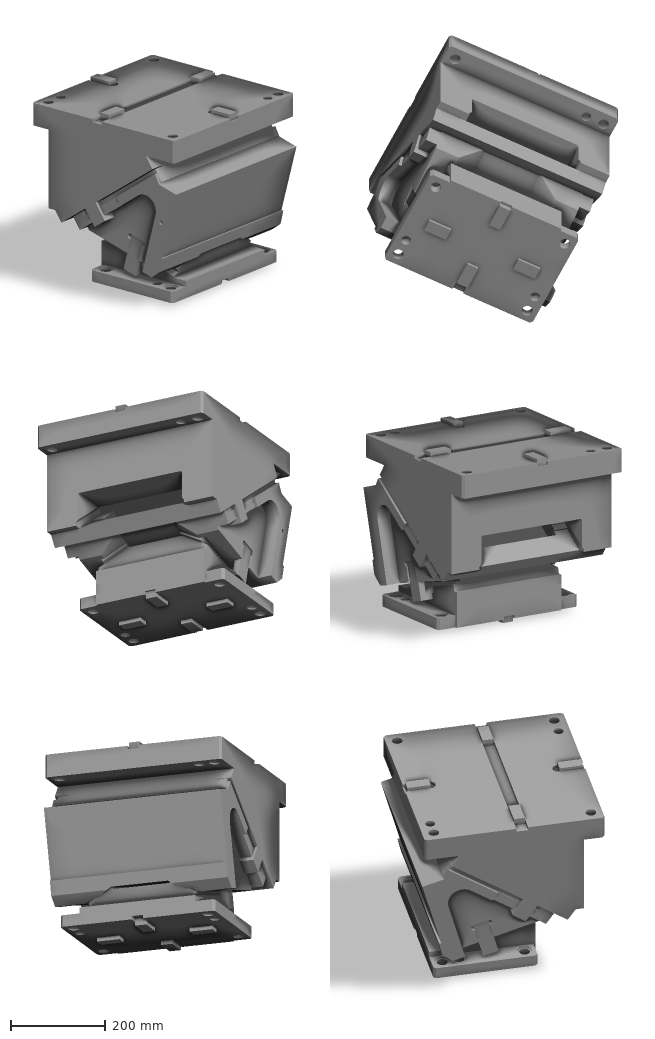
import cadquery as cq
import math


WIDTH = 400.0
HOUSING_ANGLE = 35.0
DRIVER_ANGLE = 15.0
ROOF_ANGLE = 30.0
EDGE_CHAMFER = 5.0

KEY_LENGTH = 51.0
KEY_WIDTH = 24.0
KEY_HEIGHT = 8.5
KEYWAY_WIDTH = 25.5
KEYWAY_DEPTH = 7.0
KEY_SHIFT = (KEYWAY_WIDTH - KEY_WIDTH) / 2

PLATE_LENGTH = 391.0
PLATE_TOP = 376.0
PLATE_BOTTOM = 325.5
HOUSING_BACK_X = 45.0
TIP_X = 80.5
TIP_Z = 125.0
HOUSING_FACE_LENGTH = 306.0
LIP_THICKNESS = 29.5
TOOTH_START = 81.0
TOOTH_END = 115.0
TOOTH_DEPTH = 44.0
CORE_HALF_WIDTH = 168.0

WINDOW_HALF_WIDTH = 125.5
WINDOW_TOP = 223.0
WINDOW_CORNER = 4.0
FLARE = 5.0
FLARE_HEIGHT = 21.0
OPENING_HALF_WIDTH = 99.0
OPENING_START = 49.0
LOW_STEP_START, LOW_STEP_HEIGHT = 60.0, 3.5
HIGH_STEP_START, HIGH_STEP_HEIGHT = 74.0, 5.0

BOLT_DIAMETER = 23.0
DOWEL_DIAMETER = 21.0
BOLT_INSET = 25.0
BACK_DOWEL_Y = -134.5
FRONT_DOWEL_Y = 141.0
CROSS_KEYWAY_X = 179.0
CROSS_KEY_Y = 150.0
END_KEY_INSET = 4.5

SLIDER_START = 33.0
SLIDER_END_HEIGHT = 41.0
RAIL_HALF_WIDTH = 193.5
RAIL_GAP = 1.5
RAIL_DEPTH = 33.0
NOSE_START = 177.0
NOSE_DROP = 11.5
UNDERSIDE_LENGTH = 205.0
CHIN_X, CHIN_Z = 352.5, 75.0
STEP_X, STEP_WIDTH, STEP_Z = 360.0, 5.0, 106.5
CORNER_X, CORNER_Z = 396.0, 257.5
BROW_X, BROW_Z = 349.0, 270.0
POCKET_WALL_X, POCKET_WALL_Z = 340.5, 202.5
POCKET_RADIUS = 31.0
MARK_X, MARK_Z = 355.0, 185.5
MARK_DIAMETER = 9.5
MARK_DEPTH = 12.0
RECESS_START = 65.0
RECESS_DEPTH = 2.0

ROOF_EDGE_Y = 131.0
ROOF_TOP_Y = 64.0
ROOF_EDGE_DROP = 14.0
GUIDE_START = 21.5
GUIDE_END = 212.5
GROOVE_EDGE_Y = 115.0
PLATE_EDGE_Y = 118.5
WEAR_PLATE_START = 12.5
WEAR_PLATE_THICKNESS = 7.0
RELIEF_EDGE_Y = 129.5
HOOK_START, HOOK_END = 106.5, 141.0
HOOK_TOP, HOOK_BOTTOM = 46.5, -41.0
HOOK_FOOT_TOP = -28.0
HOOK_OUTER_Y, HOOK_INNER_Y, HOOK_TOE_Y = 165.0, 150.5, 135.0
HOOK_RELIEF_RADIUS = 6.5
LUG_EDGE_Y = 149.0

DRIVER_BACK_X = 134.5
DRIVER_FRONT_X = 365.5
DRIVER_BACK_Z = 78.0
DRIVER_FRONT_Z = 39.0
FLANGE_BACK_X = 139.5
FLANGE_HALF_WIDTH = 175.0
FLANGE_THICKNESS = 25.5
FLANGE_BOLT_Y = 152.5
FLANGE_BOLT_X = (163.5, 342.5)
FLANGE_DOWEL_X = 305.0
SPOTFACE_DIAMETER = 32.0
SPOTFACE_DEPTH = 2.0
FOOT_KEY_X = (FLANGE_BACK_X, 294.5)
FOOT_CROSS_KEY_X = 250.0
FOOT_CROSS_KEY_Y = ROOF_EDGE_Y - KEY_LENGTH / 2


def direction(angle):
    return math.cos(math.radians(angle)), math.sin(math.radians(angle))


def on_housing_face(along, above):
    """X, Z of a point along the housing's sliding face and square above it."""
    c, s = direction(HOUSING_ANGLE)
    return TIP_X + along * c - above * s, TIP_Z + along * s + above * c


UNDERSIDE_X, UNDERSIDE_Z = on_housing_face(SLIDER_START, -SLIDER_END_HEIGHT)


def on_driver_face(along, above):
    """X, Z of a point along the slider's underside and square above it."""
    c, s = direction(-DRIVER_ANGLE)
    return UNDERSIDE_X + along * c - above * s, UNDERSIDE_Z + along * s + above * c


def at_height(along, z):
    """X, Z of the point at height z on the line square to the driver face."""
    x0, z0 = on_driver_face(along, 0)
    return x0 + (z - z0) * math.tan(math.radians(DRIVER_ANGLE)), z


def slab(points, y_from, y_to):
    """Prism with an X-Z outline, spanning y_from to y_to."""
    return cq.Workplane("XZ", origin=(0, y_from, 0)).polyline(points).close().extrude(y_from - y_to)


def wide_slab(points, half_width):
    return slab(points, -half_width, half_width)


def inclined_block(frame, along, above, y_from, y_to):
    """Block square to an inclined face; along and above are (from, to) pairs."""
    corners = [(0, 0), (1, 0), (1, 1), (0, 1)]
    return slab([frame(along[i], above[j]) for i, j in corners], y_from, y_to)


def section_along(frame, angle, points, start, end):
    """Y-height section swept along an inclined face from start to end."""
    x, z = frame(start, 0)
    c, s = direction(angle)
    plane = cq.Plane(origin=(x, 0, z), xDir=(0, 1, 0), normal=(c, 0, s))
    return cq.Workplane(plane).polyline(points).close().extrude(end - start)


def mirrored_pair(body):
    return body.union(body.mirror("XZ"))


def box(x, y, z):
    """Block from (from, to) pairs."""
    size = (x[1] - x[0], y[1] - y[0], z[1] - z[0])
    return cq.Workplane().box(*size, centered=False).translate((x[0], y[0], z[0]))


def span(centre, length):
    return centre - length / 2, centre + length / 2


def drill(x, y, diameter, z):
    bore = cq.Workplane("XY", origin=(x, y, z[0])).circle(diameter / 2)
    return bore.extrude(z[1] - z[0])


def housing_outline():
    cheek = (PLATE_BOTTOM - on_housing_face(HOUSING_FACE_LENGTH, 0)[1]) / direction(HOUSING_ANGLE)[0]
    lip = on_housing_face(0, LIP_THICKNESS)
    return [
        (TIP_X, TIP_Z),
        on_housing_face(HOUSING_FACE_LENGTH, 0),
        on_housing_face(HOUSING_FACE_LENGTH, cheek),
        (HOUSING_BACK_X, PLATE_BOTTOM),
        (HOUSING_BACK_X, lip[1]),
        lip,
    ]


def window():
    """Pocket from the back face, floored by the lip and its side steps."""
    floor_start = on_housing_face(0, LIP_THICKNESS)
    end_height = (WINDOW_TOP - on_housing_face(TOOTH_END, 0)[1]) / direction(HOUSING_ANGLE)[0]
    outline = [
        (HOUSING_BACK_X, floor_start[1]),
        floor_start,
        on_housing_face(TOOTH_END, LIP_THICKNESS),
        on_housing_face(TOOTH_END, end_height),
        (HOUSING_BACK_X, WINDOW_TOP),
    ]
    pocket = wide_slab(outline, WINDOW_HALF_WIDTH)
    pocket = pocket.faces(">Z").edges("|X").fillet(WINDOW_CORNER)

    flare_top = LIP_THICKNESS + FLARE_HEIGHT
    outer = WINDOW_HALF_WIDTH + FLARE
    flare = section_along(on_housing_face, HOUSING_ANGLE, [
        (-outer, LIP_THICKNESS),
        (outer, LIP_THICKNESS),
        (outer, flare_top - FLARE),
        (WINDOW_HALF_WIDTH, flare_top),
        (-WINDOW_HALF_WIDTH, flare_top),
        (-outer, flare_top - FLARE),
    ], -LIP_THICKNESS, TOOTH_END)
    pocket = pocket.union(flare)

    for start, height in ((LOW_STEP_START, LOW_STEP_HEIGHT), (HIGH_STEP_START, HIGH_STEP_HEIGHT)):
        above = (LIP_THICKNESS, LIP_THICKNESS + height)
        step = inclined_block(on_housing_face, (start, TOOTH_END), above, -outer, outer)
        pocket = pocket.cut(step)

    opening = inclined_block(on_housing_face, (OPENING_START, TOOTH_END),
                             (0, LIP_THICKNESS + HIGH_STEP_HEIGHT),
                             -OPENING_HALF_WIDTH, OPENING_HALF_WIDTH)
    return pocket.union(opening)


def add_top_keys(body):
    """Cut the cross and end keyways in the mounting face and seat the keys."""
    keyway_z = (PLATE_TOP - KEYWAY_DEPTH, PLATE_TOP)
    key_z = (keyway_z[0], PLATE_TOP + KEY_HEIGHT)

    body = body.cut(box(span(CROSS_KEYWAY_X, KEYWAY_WIDTH), (-WIDTH / 2, WIDTH / 2), keyway_z))
    for y in (-CROSS_KEY_Y, CROSS_KEY_Y):
        body = body.union(box(span(CROSS_KEYWAY_X + KEY_SHIFT, KEY_WIDTH), span(y, KEY_LENGTH), key_z))

    back_key = END_KEY_INSET
    front_key = PLATE_LENGTH - END_KEY_INSET - KEY_LENGTH
    back_end = back_key + KEY_LENGTH
    for key_x, keyway_x, round_x in (
        (back_key, (0, back_end), back_end),
        (front_key, (front_key, PLATE_LENGTH), front_key),
    ):
        body = body.cut(box(keyway_x, span(0, KEYWAY_WIDTH), keyway_z))
        body = body.cut(drill(round_x, 0, KEYWAY_WIDTH, keyway_z))
        body = body.union(box((key_x, key_x + KEY_LENGTH), span(KEY_SHIFT, KEY_WIDTH), key_z))
    return body


def make_housing():
    plate = box((0, PLATE_LENGTH), (-WIDTH / 2, WIDTH / 2), (PLATE_BOTTOM, PLATE_TOP))
    plate = plate.edges("|Z").chamfer(EDGE_CHAMFER)
    body = plate.union(wide_slab(housing_outline(), WIDTH / 2)).cut(window())

    tooth = inclined_block(on_housing_face, (TOOTH_START, TOOTH_END), (-TOOTH_DEPTH, 0),
                           CORE_HALF_WIDTH, WIDTH / 2)
    body = body.union(mirrored_pair(tooth))

    plate_z = (PLATE_BOTTOM, PLATE_TOP)
    back_x, front_x = BOLT_INSET, PLATE_LENGTH - BOLT_INSET
    bolt_y = WIDTH / 2 - BOLT_INSET
    for x in (back_x, front_x):
        for y in (-bolt_y, bolt_y):
            body = body.cut(drill(x, y, BOLT_DIAMETER, plate_z))
    for x, y in ((back_x, BACK_DOWEL_Y), (front_x, FRONT_DOWEL_Y)):
        body = body.cut(drill(x, y, DOWEL_DIAMETER, plate_z))
    return add_top_keys(body)


ROOF_SLOPE = math.tan(math.radians(ROOF_ANGLE))


def roof_height(y):
    """Height of the driver's roof above the slider's underside."""
    return (ROOF_EDGE_Y - y) * ROOF_SLOPE - ROOF_EDGE_DROP


def roof_section(edge_y, edge_z, top_y, top_z):
    return [(-edge_y, edge_z), (-top_y, top_z), (top_y, top_z), (edge_y, edge_z)]


def slider_outline(top):
    """Side outline of the slider with its upper face at the given height."""
    return [
        on_housing_face(SLIDER_START, top),
        (UNDERSIDE_X, UNDERSIDE_Z),
        on_driver_face(UNDERSIDE_LENGTH, 0),
        (CHIN_X, CHIN_Z),
        (STEP_X, STEP_Z),
        (STEP_X - STEP_WIDTH, STEP_Z),
        (CORNER_X, CORNER_Z),
        (BROW_X, BROW_Z),
        on_housing_face(HOUSING_FACE_LENGTH, top),
    ]


def side_pocket():
    """Clearance below the rails, open to the back and the underside."""
    c, s = direction(90 - DRIVER_ANGLE)
    rise_c, rise_s = direction(HOUSING_ANGLE)
    roof_x, roof_z = on_housing_face(0, -RAIL_DEPTH)
    offset = (roof_x - POCKET_WALL_X) * rise_s - (roof_z - POCKET_WALL_Z) * rise_c
    reach = offset / (c * rise_s - s * rise_c)
    apex = (POCKET_WALL_X + reach * c, POCKET_WALL_Z + reach * s)
    wall_foot = (POCKET_WALL_X - WIDTH * c, POCKET_WALL_Z - WIDTH * s)
    outline = [on_housing_face(-WIDTH, -RAIL_DEPTH), apex, wall_foot]
    pocket = slab(outline, CORE_HALF_WIDTH, WIDTH / 2)
    return pocket.edges("|Y").edges(">X").fillet(POCKET_RADIUS)


def make_nose():
    nose = wide_slab(slider_outline(-NOSE_DROP), WIDTH / 2)
    behind = inclined_block(on_housing_face, (-WIDTH, NOSE_START), (-RAIL_DEPTH, 0), -WIDTH, WIDTH)
    return nose.cut(behind).cut(mirrored_pair(side_pocket()))


def make_rails():
    rails = None
    for start, end in ((SLIDER_START, TOOTH_START), (TOOTH_END, HOUSING_FACE_LENGTH)):
        rail = inclined_block(on_housing_face, (start, end), (-RAIL_DEPTH, -RAIL_GAP),
                              -RAIL_HALF_WIDTH, RAIL_HALF_WIDTH)
        rails = rail if rails is None else rails.union(rail)
    recess = inclined_block(on_housing_face, (RECESS_START, HOUSING_FACE_LENGTH), (-NOSE_DROP, 0),
                            RAIL_HALF_WIDTH - RECESS_DEPTH, RAIL_HALF_WIDTH)
    return rails.cut(mirrored_pair(recess))


def hook_seat():
    """Recess in the core's side for a hook, with rounded relief at its top corners."""
    hook_along = (HOOK_START, HOOK_END)
    seat = inclined_block(on_driver_face, hook_along, (0, HOOK_TOP), HOOK_INNER_Y, CORE_HALF_WIDTH)
    for along in hook_along:
        x, z = on_driver_face(along, HOOK_TOP - HOOK_RELIEF_RADIUS)
        plane = cq.Workplane("XZ", origin=(x, HOOK_INNER_Y, z))
        seat = seat.union(plane.circle(HOOK_RELIEF_RADIUS).extrude(HOOK_INNER_Y - CORE_HALF_WIDTH))
    return seat


def hook():
    """L-shaped return hook that reaches under the driver's lug."""
    along = (HOOK_START, HOOK_END)
    leg = inclined_block(on_driver_face, along, (HOOK_BOTTOM, HOOK_TOP), HOOK_INNER_Y, HOOK_OUTER_Y)
    foot = inclined_block(on_driver_face, along, (HOOK_BOTTOM, HOOK_FOOT_TOP), HOOK_TOE_Y, HOOK_OUTER_Y)
    return leg.union(foot)


def make_slider():
    body = wide_slab(slider_outline(0), CORE_HALF_WIDTH).union(make_rails()).union(make_nose())

    groove_top = (GROOVE_EDGE_Y - ROOF_TOP_Y) * ROOF_SLOPE
    groove = roof_section(GROOVE_EDGE_Y, 0, ROOF_TOP_Y, groove_top)
    body = body.cut(section_along(on_driver_face, -DRIVER_ANGLE, groove, -WIDTH, WIDTH))

    c, s = direction(ROOF_ANGLE)
    lean, lift = WEAR_PLATE_THICKNESS * s, WEAR_PLATE_THICKNESS * c
    plate_section = [
        (ROOF_TOP_Y, roof_height(ROOF_TOP_Y)),
        (PLATE_EDGE_Y, roof_height(PLATE_EDGE_Y)),
        (PLATE_EDGE_Y + lean, roof_height(PLATE_EDGE_Y) + lift),
        (ROOF_TOP_Y + lean, roof_height(ROOF_TOP_Y) + lift),
    ]
    relief_section = [
        (RELIEF_EDGE_Y, 0),
        (PLATE_EDGE_Y + lean, (RELIEF_EDGE_Y - PLATE_EDGE_Y - lean) * ROOF_SLOPE),
        (PLATE_EDGE_Y + lean, 0),
    ]
    extent = (WEAR_PLATE_START, GUIDE_END)
    relief = section_along(on_driver_face, -DRIVER_ANGLE, relief_section, *extent)
    wear_plate = section_along(on_driver_face, -DRIVER_ANGLE, plate_section, *extent)
    body = body.cut(mirrored_pair(relief)).union(mirrored_pair(wear_plate))

    body = body.cut(mirrored_pair(hook_seat())).union(mirrored_pair(hook()))
    mark = cq.Workplane("XZ", origin=(MARK_X, -WIDTH / 2, MARK_Z)).circle(MARK_DIAMETER / 2)
    return body.cut(mark.extrude(-MARK_DEPTH))


def make_flange():
    through = (0, FLANGE_THICKNESS)
    flange = box((FLANGE_BACK_X, DRIVER_FRONT_X), (-FLANGE_HALF_WIDTH, FLANGE_HALF_WIDTH), through)
    flange = flange.edges("|Z").chamfer(EDGE_CHAMFER)
    spotface_z = (FLANGE_THICKNESS - SPOTFACE_DEPTH, FLANGE_THICKNESS)
    for y in (-FLANGE_BOLT_Y, FLANGE_BOLT_Y):
        for x in FLANGE_BOLT_X:
            flange = flange.cut(drill(x, y, BOLT_DIAMETER, through))
            flange = flange.cut(drill(x, y, SPOTFACE_DIAMETER, spotface_z))
        flange = flange.cut(drill(FLANGE_DOWEL_X, y, DOWEL_DIAMETER, through))
    return flange


def add_foot_keys(body):
    keyway_z = (0, KEYWAY_DEPTH)
    key_z = (-KEY_HEIGHT, KEYWAY_DEPTH)
    back_key, front_key = FOOT_KEY_X
    for keyway_x in ((DRIVER_BACK_X, back_key + KEY_LENGTH), (front_key, DRIVER_FRONT_X)):
        body = body.cut(box(keyway_x, span(0, KEYWAY_WIDTH), keyway_z))
    for key_x in FOOT_KEY_X:
        body = body.union(box((key_x, key_x + KEY_LENGTH), span(0, KEYWAY_WIDTH), key_z))
    for y in (-FOOT_CROSS_KEY_Y, FOOT_CROSS_KEY_Y):
        body = body.union(box(span(FOOT_CROSS_KEY_X, KEYWAY_WIDTH), span(y, KEY_LENGTH), key_z))
    return body


def make_driver():
    block = wide_slab([
        (DRIVER_BACK_X, 0),
        (DRIVER_BACK_X, DRIVER_BACK_Z),
        at_height(GUIDE_START, DRIVER_BACK_Z),
        on_driver_face(GUIDE_START, -ROOF_EDGE_DROP),
        on_driver_face(GUIDE_END, -ROOF_EDGE_DROP),
        at_height(GUIDE_END, DRIVER_FRONT_Z),
        (DRIVER_FRONT_X, DRIVER_FRONT_Z),
        (DRIVER_FRONT_X, 0),
    ], ROOF_EDGE_Y)
    roof = roof_section(ROOF_EDGE_Y, -ROOF_EDGE_DROP, ROOF_TOP_Y, roof_height(ROOF_TOP_Y))
    guide = section_along(on_driver_face, -DRIVER_ANGLE, roof, GUIDE_START, GUIDE_END)

    lug_section = [
        (-LUG_EDGE_Y, HOOK_FOOT_TOP),
        *roof_section(LUG_EDGE_Y, roof_height(LUG_EDGE_Y), ROOF_EDGE_Y, -ROOF_EDGE_DROP),
        (LUG_EDGE_Y, HOOK_FOOT_TOP),
    ]
    lugs = section_along(on_driver_face, -DRIVER_ANGLE, lug_section, HOOK_START, HOOK_END)
    return add_foot_keys(block.union(guide).union(lugs).union(make_flange()))


housing = make_housing()
slider = make_slider()
driver = make_driver()
result = cq.Compound.makeCompound([body.solids().val() for body in (housing, slider, driver)])